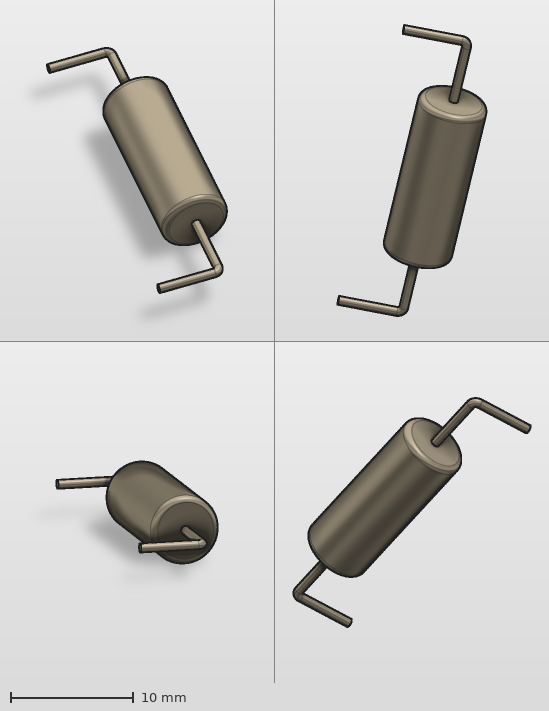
import cadquery as cq


body_length = 14.3
body_diameter = 5.715
body_edge_radius = 0.5
lead_diameter = 0.75
lead_pitch = 25.4
lead_bend_radius = 0.5
lead_tip_depth = 5.35


def make_body():
    """Cylinder centred on the origin with rounded end edges."""
    return (
        cq.Workplane("YZ", origin=(-body_length / 2, 0, 0))
        .circle(body_diameter / 2)
        .extrude(body_length)
        .edges("%CIRCLE")
        .fillet(body_edge_radius)
    )


def make_lead():
    """Round wire from the body centre along +X, bent and run down to its tip in -Y."""
    leg_x = lead_pitch / 2
    bend_start_x = leg_x - lead_bend_radius
    path = (
        cq.Workplane("XY")
        .lineTo(bend_start_x, 0)
        .tangentArcPoint((leg_x, -lead_bend_radius), relative=False)
        .lineTo(leg_x, -lead_tip_depth)
    )
    return cq.Workplane("YZ").circle(lead_diameter / 2).sweep(path)


lead = make_lead()
result = make_body().union(lead).union(lead.mirror("YZ"))